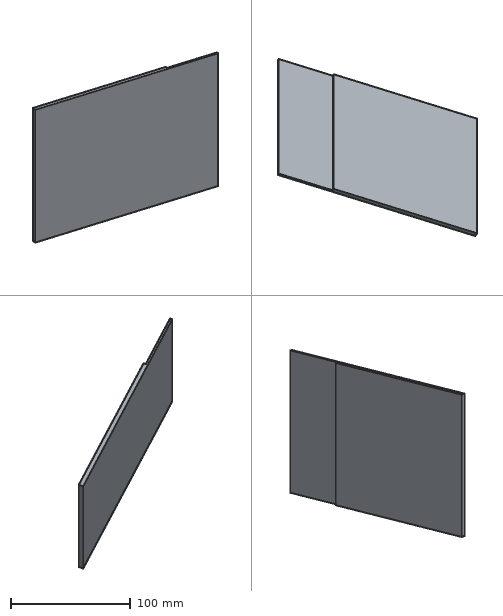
import cadquery as cq

thickness = 4.0
length = 183.0
height = 126.0

tongue_length = 50.0
tongue_thickness = 2.0
step_depth = thickness - tongue_thickness

plate = cq.Workplane("XY").box(thickness, length, height, centered=False)

rebate = (
    cq.Workplane("XY")
    .box(step_depth, tongue_length, height, centered=False)
    .translate((0, length - tongue_length, 0))
)

result = plate.cut(rebate)